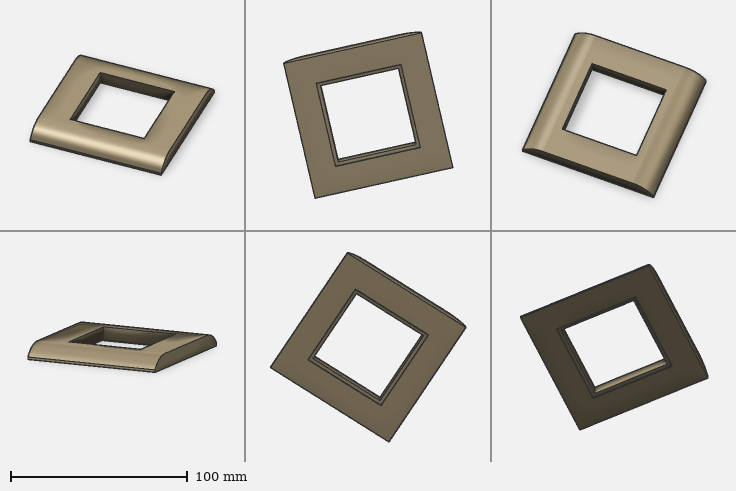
import cadquery as cq
import math

length_x = 80.0
width_y = 80.0
height = 8.5
lip_height = 1.5
edge_radius = 15.0
window_side = 45.2
rebate_depth = 1.0
rebate_margin = 2.0

half_width = width_y / 2
arc_drop = height - lip_height
arc_sweep = math.acos(1 - arc_drop / edge_radius)
half_flat = half_width - edge_radius * math.sin(arc_sweep)
arc_mid_y = half_flat + edge_radius * math.sin(arc_sweep / 2)
arc_mid_z = height - edge_radius * (1 - math.cos(arc_sweep / 2))


def make_body():
    """Cross-section in the YZ plane, extruded along X and centred on the origin."""
    return (
        cq.Workplane("YZ")
        .moveTo(-half_width, 0)
        .lineTo(half_width, 0)
        .lineTo(half_width, lip_height)
        .threePointArc((arc_mid_y, arc_mid_z), (half_flat, height))
        .lineTo(-half_flat, height)
        .threePointArc((-arc_mid_y, arc_mid_z), (-half_width, lip_height))
        .close()
        .extrude(length_x / 2, both=True)
    )


def make_square_prism(side, depth):
    """Centred square prism rising from the underside, used as a cutter."""
    return cq.Workplane("XY").rect(side, side).extrude(depth)


window = make_square_prism(window_side, height)
rebate = make_square_prism(window_side + 2 * rebate_margin, rebate_depth)

result = make_body().cut(window).cut(rebate)